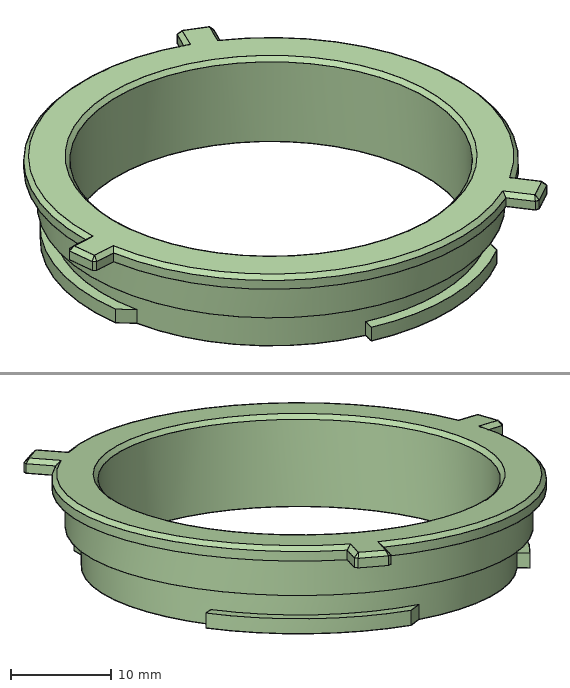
import cadquery as cq
import math

total_height = 9.6
flange_thickness = 1.5
body_height = 4.0
lug_height = 1.6
flange_bottom = total_height - flange_thickness
body_bottom = flange_bottom - body_height

bore_radius = 40.2 / 2
neck_radius = 43.6 / 2
body_radius = 46.8 / 2
flange_radius = 24.7
lug_radius = 23.1

edge_chamfer = 0.5
tab_corner_chamfer = 0.3

first_tab_angle = 6.4
tab_width = 3.8
tab_reaches = [28.0, 27.6, 27.4]
tab_spacing = 360 / len(tab_reaches)

lugs = [(87.0, 139.8), (199.0, 248.0), (316.0, 368.0)]
lug_ramp_angle = 4.3


def polar(radius, degrees):
    angle = math.radians(degrees)
    return radius * math.cos(angle), radius * math.sin(angle)


def disc(radius, bottom, top):
    return cq.Workplane("XY").workplane(offset=bottom).circle(radius).extrude(top - bottom)


def flange_tab(direction, reach):
    """Radial bar from inside the flange ring out to its reach."""
    length = reach - bore_radius
    bar = cq.Workplane("XY").box(length, tab_width, flange_thickness, centered=(False, True, False))
    bar = bar.edges("|Z and >X").chamfer(tab_corner_chamfer)
    bar = bar.translate((bore_radius, 0, flange_bottom))
    return bar.rotate((0, 0, 0), (0, 0, 1), direction)


def bayonet_lug(start, end):
    """Arc-shaped lug with a radial start face and a sloping end face."""
    ramp_end = end + lug_ramp_angle
    return (
        cq.Workplane("XY")
        .moveTo(*polar(bore_radius, start))
        .lineTo(*polar(lug_radius, start))
        .threePointArc(polar(lug_radius, (start + end) / 2), polar(lug_radius, end))
        .lineTo(*polar(neck_radius, ramp_end))
        .lineTo(*polar(bore_radius, ramp_end))
        .threePointArc(polar(bore_radius, (start + ramp_end) / 2), polar(bore_radius, start))
        .close()
        .extrude(lug_height)
    )


flange = disc(flange_radius, flange_bottom, total_height)
for index, reach in enumerate(tab_reaches):
    direction = first_tab_angle + index * tab_spacing
    flange = flange.union(flange_tab(direction, reach))
flange = flange.faces(">Z").edges().chamfer(edge_chamfer)

barrel = disc(body_radius, body_bottom, flange_bottom).union(disc(neck_radius, 0, body_bottom))
for start, end in lugs:
    barrel = barrel.union(bayonet_lug(start, end))

bore = disc(bore_radius, 0, total_height)
rim_cut = (
    cq.Workplane("XY")
    .workplane(offset=total_height - edge_chamfer)
    .circle(bore_radius)
    .workplane(offset=edge_chamfer)
    .circle(bore_radius + edge_chamfer)
    .loft()
)
result = flange.union(barrel).cut(bore).cut(rim_cut)